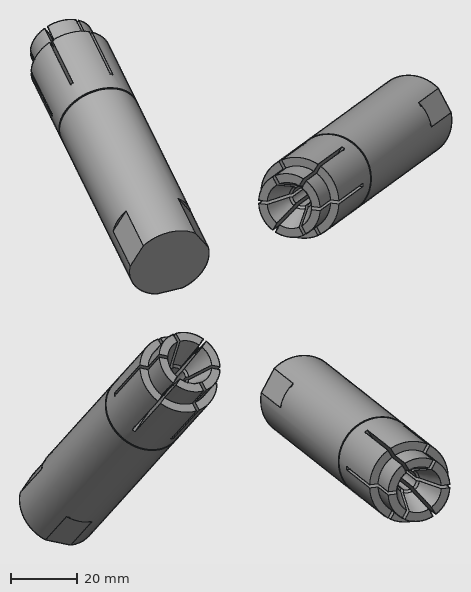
import cadquery as cq

length = 100.0
body_diameter = 25.4
nose_diameter = 20.0
nose_length = 8.5

groove_start = 34.4
groove_width = 0.4
groove_depth = 0.1

mouth_diameter = 14.4
throat_diameter = 7.6
pilot_diameter = 6.2
taper_depth = 9.5
chamfer_depth = (throat_diameter - pilot_diameter) / 2
pilot_depth = 20.0

slit_width = 1.0
slit_length = 27.9
slit_clearance = 1.0
slit_plane_count = 3

flat_length = 16.0
flat_distance = 12.0
flat_angles = (30, 150, 270)


def make_body():
    """Revolve the stepped outer shape around the X axis."""
    body_radius = body_diameter / 2
    nose_radius = nose_diameter / 2
    groove_radius = body_radius - groove_depth
    groove_end = groove_start + groove_width
    outline = [
        (0, 0),
        (0, nose_radius),
        (nose_length, nose_radius),
        (nose_length, body_radius),
        (groove_start, body_radius),
        (groove_start, groove_radius),
        (groove_end, groove_radius),
        (groove_end, body_radius),
        (length, body_radius),
        (length, 0),
    ]
    return cq.Workplane("XY").polyline(outline).close().revolve(360, (0, 0, 0), (1, 0, 0))


def make_socket():
    """Tapered socket, its 45 degree step and its pilot bore, as one solid to cut away."""
    outline = [
        (0, 0),
        (0, mouth_diameter / 2),
        (taper_depth, throat_diameter / 2),
        (taper_depth + chamfer_depth, pilot_diameter / 2),
        (pilot_depth, pilot_diameter / 2),
        (pilot_depth, 0),
    ]
    return cq.Workplane("XY").polyline(outline).close().revolve(360, (0, 0, 0), (1, 0, 0))


def make_slit(angle):
    """Thin slab through the axis, turned about X; it opens two opposite slits."""
    slab_span = body_diameter + 2 * slit_clearance
    slab = cq.Workplane("XY").box(slit_length, slab_span, slit_width, centered=(False, True, True))
    return slab.rotate((0, 0, 0), (1, 0, 0), angle)


def make_flat_cutter(angle):
    """Block that leaves a flat facing the given angle, measured from +Y towards +Z."""
    block = (
        cq.Workplane("XY")
        .box(flat_length, body_diameter, body_diameter, centered=(False, False, True))
        .translate((length - flat_length, flat_distance, 0))
    )
    return block.rotate((0, 0, 0), (1, 0, 0), angle)


result = make_body().cut(make_socket())

for index in range(slit_plane_count):
    result = result.cut(make_slit(index * 180 / slit_plane_count))

for flat_angle in flat_angles:
    result = result.cut(make_flat_cutter(flat_angle))